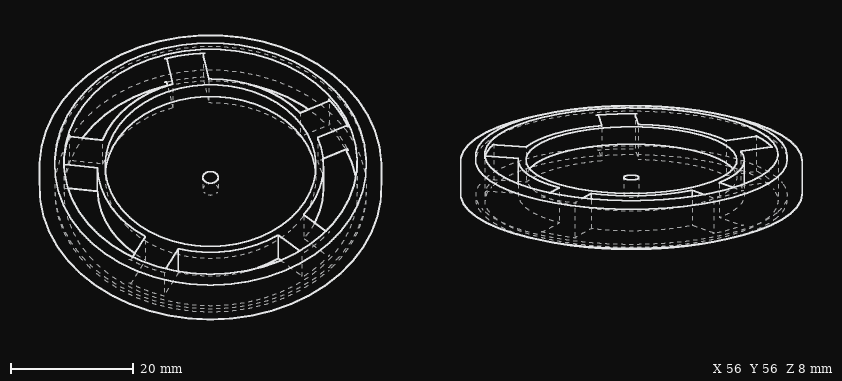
import cadquery as cq
import math

rim_diameter = 56.0
lip_diameter = 51.0
rim_bore_diameter = 48.0
total_height = 8.0
lip_height = 1.0
edge_fillet = 0.3

hub_diameter = 37.0
cup_diameter = 34.5
cup_depth = 3.0
center_hole_diameter = 2.5

spoke_count = 5
spoke_width = 6.0
first_spoke_angle = 90.0
spoke_root_fillet = 0.3

band_bottom = lip_height
band_top = total_height - lip_height
band_height = band_top - band_bottom
rim_bore_radius = rim_bore_diameter / 2
lip_radius = lip_diameter / 2
tolerance = 0.001


def cylinder(diameter, bottom, height):
    return cq.Workplane("XY").workplane(offset=bottom).circle(diameter / 2).extrude(height)


def make_rim():
    band = cylinder(rim_diameter, band_bottom, band_height).edges().fillet(edge_fillet)
    lips = cylinder(lip_diameter, 0, total_height).edges().fillet(edge_fillet)
    bore = cylinder(rim_bore_diameter, 0, total_height)
    return band.union(lips).cut(bore)


def make_spoke(angle):
    reach = (rim_bore_radius + lip_radius) / 2
    spoke = (
        cq.Workplane("XY")
        .workplane(offset=band_bottom)
        .center(reach / 2, 0)
        .rect(reach, spoke_width)
        .extrude(band_height)
    )
    return spoke.rotate((0, 0, 0), (0, 0, 1), angle)


def is_spoke_root(edge):
    corner = edge.Center()
    corner_radius = math.hypot(corner.x, corner.y)
    on_bore = abs(corner_radius - rim_bore_radius) < tolerance
    return on_bore and abs(edge.Length() - band_height) < tolerance


def make_part():
    body = make_rim().union(cylinder(hub_diameter, band_bottom, band_height))
    for index in range(spoke_count):
        body = body.union(make_spoke(first_spoke_angle + index * 360.0 / spoke_count))
    body = body.edges("|Z").filter(is_spoke_root).fillet(spoke_root_fillet)
    cup = cylinder(cup_diameter, band_top - cup_depth, cup_depth)
    center_hole = cylinder(center_hole_diameter, 0, total_height)
    return body.cut(cup).cut(center_hole)


result = make_part()